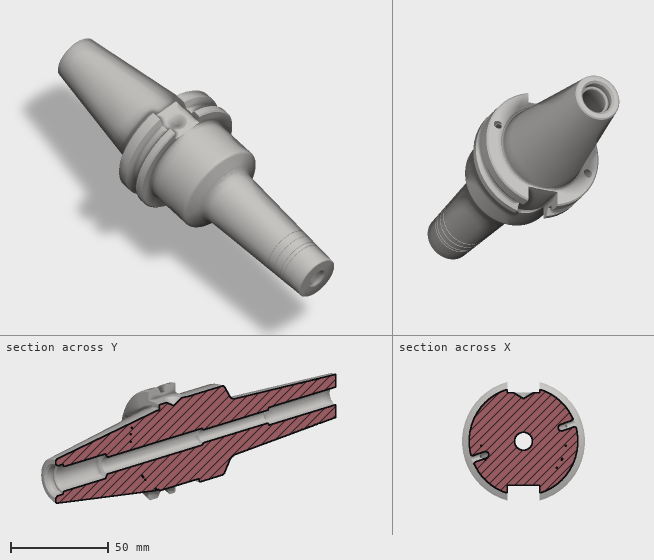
import cadquery as cq
import math


GAUGE_DIA = 44.45
TAPER_RATIO = 7 / 24
SHANK_LENGTH = 68.25
SHANK_CHAMFER = 0.6
TAPER_END_X = 0.0
UNDERCUT_DIA = 43.8
UNDERCUT_FILLET = 1.0
UNDERCUT_FACE_DIA = 46.9
UNDERCUT_FACE_DEPTH = 0.3

FLANGE_DIA = 63.26
FLANGE_FACE_X = 1.0
FLANGE_REAR_X = 19.0
FLANGE_CHAMFER = 0.8
GROOVE_X = 11.1
GROOVE_FLOOR_DIA = 56.25
GROOVE_FLOOR_WIDTH = 3.8
GROOVE_FLANK_ANGLE = 30

BODY_DIA = 49.5
BODY_FILLET = 1.0
BODY_END_X = 44.6
BODY_END_FILLET = 2.0
SHOULDER_ANGLE = 60
NOSE_X = 120.0
NOSE_DIA = 24.0
NOSE_CHAMFER = 0.35
NECK_ANGLE = 3
NECK_FILLET = 4.2
RING_GROOVE_STARTS = (96.55, 101.1, 105.6, 107.85)
RING_GROOVE_WIDTH = 0.6
RING_GROOVE_DEPTH = 0.25

SLOT_WIDTH = 16.4
TOP_SLOT_FLOOR_Z = 25.0
BOTTOM_SLOT_FLOOR_Z = -22.8
BOTTOM_SLOT_END_X = 28.0
CHIP_SEAT_DIA = 10.0
CHIP_SEAT_ANGLE = 118

COOLANT_ANGLE = 19.6
COOLANT_FACE_RADIUS = 26.9
COOLANT_TILT = 30
HOLE_SEAT_DIA = 4.2
HOLE_CORE_DIA = 3.24
FEED_SEAT_DEPTH = 1.8
FEED_LENGTH = 16.0
PLUG_SEAT_DEPTH = 0.6
PLUG_DEPTH = 7.0

PILOT_DIA = 16.3
PILOT_MOUTH_DIA = 18.6
PILOT_DEPTH = 5.0
STUD_DIA = 13.39
STUD_MOUTH_DIA = 14.4
STUD_END_X = -35.0
THROAT_DIA = 9.0
STOP_SCREW_DIA = 6.92
STOP_SCREW_START_X = 30.0
CHUCK_DIA = 9.53
CHUCK_START_X = 75.0
CHUCK_MOUTH_DIA = 10.6
DRILL_TIP_ANGLE = 118


def tan_deg(angle):
    return math.tan(math.radians(angle))


def taper_radius(x):
    return (GAUGE_DIA + TAPER_RATIO * x) / 2


def neck_radius(x):
    return NOSE_DIA / 2 + (NOSE_X - x) * tan_deg(NECK_ANGLE)


def cone_length(start_dia, end_dia):
    """Axial length of a drill-point cone between two bore diameters."""
    return (start_dia - end_dia) / 2 / tan_deg(DRILL_TIP_ANGLE / 2)


def shoulder_end_x():
    """Where the shoulder cone meets the neck cone."""
    shoulder_slope = tan_deg(SHOULDER_ANGLE)
    drop = BODY_DIA / 2 - neck_radius(BODY_END_X)
    return BODY_END_X + drop / (shoulder_slope - tan_deg(NECK_ANGLE))


def fillet_ring(body, x, radius):
    return body.edges(cq.selectors.NearestToPointSelector((x, 0, 0))).fillet(radius)


def turned_body():
    undercut_r = UNDERCUT_DIA / 2
    flange_r = FLANGE_DIA / 2
    body_r = BODY_DIA / 2
    floor_r = GROOVE_FLOOR_DIA / 2
    floor_half = GROOVE_FLOOR_WIDTH / 2
    top_half = floor_half + (flange_r - floor_r) * tan_deg(GROOVE_FLANK_ANGLE)
    shank_x = -SHANK_LENGTH
    taper_step = taper_radius(TAPER_END_X) - undercut_r
    recess_x = FLANGE_FACE_X + UNDERCUT_FACE_DEPTH
    neck_x = shoulder_end_x()
    body = (
        cq.Workplane("XZ")
        .moveTo(shank_x, 0)
        .lineTo(shank_x, taper_radius(shank_x) - SHANK_CHAMFER)
        .lineTo(shank_x + SHANK_CHAMFER, taper_radius(shank_x + SHANK_CHAMFER))
        .lineTo(TAPER_END_X, taper_radius(TAPER_END_X))
        .lineTo(TAPER_END_X + taper_step, undercut_r)
        .lineTo(recess_x - UNDERCUT_FILLET, undercut_r)
        .radiusArc((recess_x, undercut_r + UNDERCUT_FILLET), -UNDERCUT_FILLET)
        .lineTo(recess_x, UNDERCUT_FACE_DIA / 2 - UNDERCUT_FACE_DEPTH)
        .lineTo(FLANGE_FACE_X, UNDERCUT_FACE_DIA / 2)
        .lineTo(FLANGE_FACE_X, flange_r - FLANGE_CHAMFER)
        .lineTo(FLANGE_FACE_X + FLANGE_CHAMFER, flange_r)
        .lineTo(GROOVE_X - top_half, flange_r)
        .lineTo(GROOVE_X - floor_half, floor_r)
        .lineTo(GROOVE_X + floor_half, floor_r)
        .lineTo(GROOVE_X + top_half, flange_r)
        .lineTo(FLANGE_REAR_X - FLANGE_CHAMFER, flange_r)
        .lineTo(FLANGE_REAR_X, flange_r - FLANGE_CHAMFER)
        .lineTo(FLANGE_REAR_X, body_r + BODY_FILLET)
        .radiusArc((FLANGE_REAR_X + BODY_FILLET, body_r), -BODY_FILLET)
        .lineTo(BODY_END_X, body_r)
        .lineTo(neck_x, neck_radius(neck_x))
        .lineTo(NOSE_X - NOSE_CHAMFER, neck_radius(NOSE_X - NOSE_CHAMFER))
        .lineTo(NOSE_X, NOSE_DIA / 2 - NOSE_CHAMFER)
        .lineTo(NOSE_X, 0)
        .close()
        .revolve(360, (0, 0, 0), (1, 0, 0))
    )
    body = fillet_ring(body, BODY_END_X, BODY_END_FILLET)
    return fillet_ring(body, neck_x, NECK_FILLET)


def ring_groove(start_x):
    end_x = start_x + RING_GROOVE_WIDTH
    outer_r = neck_radius(start_x) + RING_GROOVE_DEPTH
    return (
        cq.Workplane("XZ")
        .moveTo(start_x, outer_r)
        .lineTo(start_x, neck_radius(start_x) - RING_GROOVE_DEPTH)
        .lineTo(end_x, neck_radius(end_x) - RING_GROOVE_DEPTH)
        .lineTo(end_x, outer_r)
        .close()
        .revolve(360, (0, 0, 0), (1, 0, 0))
    )


def axial_bore():
    shank_x = -SHANK_LENGTH
    pilot_mouth = (PILOT_MOUTH_DIA - PILOT_DIA) / 2
    pilot_end = shank_x + PILOT_DEPTH
    stud_mouth = (STUD_MOUTH_DIA - STUD_DIA) / 2
    chuck_mouth = (CHUCK_MOUTH_DIA - CHUCK_DIA) / 2
    return (
        cq.Workplane("XZ")
        .moveTo(shank_x, 0)
        .lineTo(shank_x, PILOT_MOUTH_DIA / 2)
        .lineTo(shank_x + pilot_mouth, PILOT_DIA / 2)
        .lineTo(pilot_end, PILOT_DIA / 2)
        .lineTo(pilot_end, STUD_MOUTH_DIA / 2)
        .lineTo(pilot_end + stud_mouth, STUD_DIA / 2)
        .lineTo(STUD_END_X, STUD_DIA / 2)
        .lineTo(STUD_END_X + cone_length(STUD_DIA, THROAT_DIA), THROAT_DIA / 2)
        .lineTo(STOP_SCREW_START_X, THROAT_DIA / 2)
        .lineTo(STOP_SCREW_START_X + cone_length(THROAT_DIA, STOP_SCREW_DIA), STOP_SCREW_DIA / 2)
        .lineTo(CHUCK_START_X - cone_length(CHUCK_DIA, STOP_SCREW_DIA), STOP_SCREW_DIA / 2)
        .lineTo(CHUCK_START_X, CHUCK_DIA / 2)
        .lineTo(NOSE_X - chuck_mouth, CHUCK_DIA / 2)
        .lineTo(NOSE_X, CHUCK_MOUTH_DIA / 2)
        .lineTo(NOSE_X, 0)
        .close()
        .revolve(360, (0, 0, 0), (1, 0, 0))
    )


def top_slot():
    """Flat slot that runs out over the body behind the flange."""
    length = BODY_END_X - TAPER_END_X
    return (
        cq.Workplane("XY", origin=(TAPER_END_X + length / 2, 0, TOP_SLOT_FLOOR_Z))
        .rect(length, SLOT_WIDTH)
        .extrude(FLANGE_DIA / 2)
    )


def bottom_slot():
    """Deeper slot that ends in the body with a half-round milled wall."""
    end_r = SLOT_WIDTH / 2
    arc_x = BOTTOM_SLOT_END_X - end_r
    return (
        cq.Workplane("XY", origin=(0, 0, BOTTOM_SLOT_FLOOR_Z))
        .moveTo(TAPER_END_X, -end_r)
        .lineTo(arc_x, -end_r)
        .threePointArc((BOTTOM_SLOT_END_X, 0), (arc_x, end_r))
        .lineTo(TAPER_END_X, end_r)
        .close()
        .extrude(-FLANGE_DIA / 2)
    )


def chip_seat():
    """Conical recess in the floor of the top slot."""
    radius = CHIP_SEAT_DIA / 2
    depth = radius / tan_deg(CHIP_SEAT_ANGLE / 2)
    tip = cq.Vector(GROOVE_X, 0, TOP_SLOT_FLOOR_Z - depth)
    return cq.Workplane(cq.Solid.makeCone(0, radius, depth, tip, cq.Vector(0, 0, 1)))


def stepped_hole(mouth, direction, seat_depth, depth):
    """Seat and narrower core of a hole; the seat also reaches out in front of the mouth."""
    clearance = HOLE_SEAT_DIA
    outside = mouth - direction * clearance
    seat = cq.Solid.makeCylinder(HOLE_SEAT_DIA / 2, clearance + seat_depth, outside, direction)
    core = cq.Solid.makeCylinder(HOLE_CORE_DIA / 2, depth, mouth, direction)
    return cq.Workplane(seat).union(cq.Workplane(core))


def coolant_holes():
    """Inclined feed from the flange face and the plug hole that meets it, built along +Y."""
    tilt = math.radians(COOLANT_TILT)
    inward = cq.Vector(math.cos(tilt), -math.sin(tilt), 0)
    feed_mouth = cq.Vector(FLANGE_FACE_X, COOLANT_FACE_RADIUS, 0)
    plug_mouth = cq.Vector(GROOVE_X, GROOVE_FLOOR_DIA / 2, 0)
    feed = stepped_hole(feed_mouth, inward, FEED_SEAT_DEPTH, FEED_LENGTH)
    plug = stepped_hole(plug_mouth, cq.Vector(0, -1, 0), PLUG_SEAT_DEPTH, PLUG_DEPTH)
    return feed.union(plug)


result = turned_body().cut(axial_bore())
for groove_start in RING_GROOVE_STARTS:
    result = result.cut(ring_groove(groove_start))
result = result.cut(top_slot()).cut(bottom_slot()).cut(chip_seat())
for side_angle in (0, 180):
    result = result.cut(coolant_holes().rotate((0, 0, 0), (1, 0, 0), COOLANT_ANGLE + side_angle))